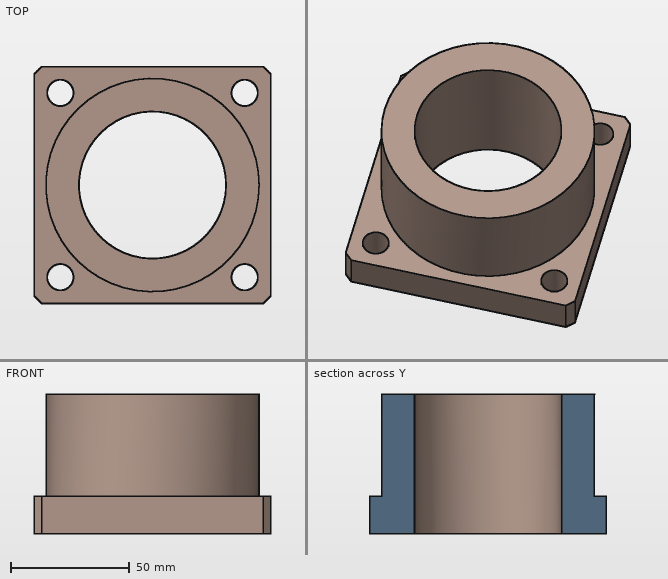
import cadquery as cq

flange_side = 100.0
flange_thickness = 16.0
corner_chamfer = 3.2

total_height = 59.0
sleeve_diameter = 90.0
bore_diameter = 62.0

hole_diameter = 11.0
hole_spacing = 77.8


def make_flange():
    """Square plate with its bottom on Z = 0 and chamfered vertical corners."""
    plate = cq.Workplane("XY").rect(flange_side, flange_side).extrude(flange_thickness)
    return plate.edges("|Z").chamfer(corner_chamfer)


def make_sleeve():
    """Solid cylinder running the full height of the part."""
    return cq.Workplane("XY").circle(sleeve_diameter / 2).extrude(total_height)


def make_bore():
    """Cutter for the central through bore."""
    return cq.Workplane("XY").circle(bore_diameter / 2).extrude(total_height)


def make_mounting_holes():
    """Cutters for the four flange through holes."""
    centres = cq.Workplane("XY").rect(hole_spacing, hole_spacing, forConstruction=True).vertices()
    return centres.circle(hole_diameter / 2).extrude(flange_thickness)


result = make_flange().union(make_sleeve()).cut(make_bore()).cut(make_mounting_holes())